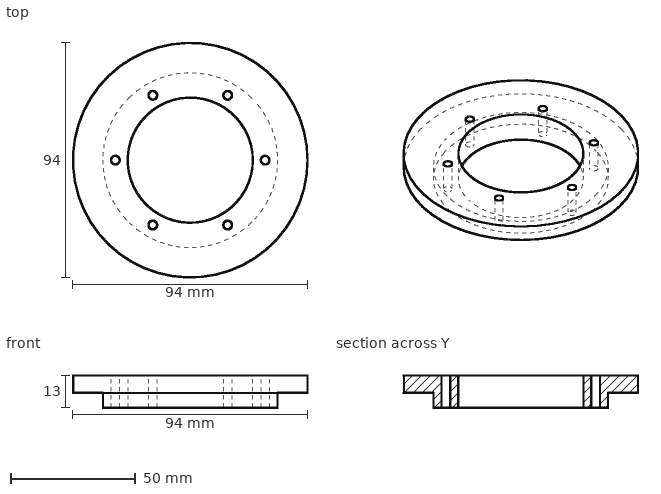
import cadquery as cq

flange_diameter = 94
flange_thickness = 7.0
total_height = 13.0
hub_diameter = 70.0
bore_diameter = 50.0
bolt_circle_diameter = 60.0
bolt_hole_diameter = 3.4
bolt_hole_count = 6

hub_height = total_height - flange_thickness

hub = cq.Workplane("XY").circle(hub_diameter / 2).extrude(hub_height)
flange = (
    cq.Workplane("XY")
    .workplane(offset=hub_height)
    .circle(flange_diameter / 2)
    .extrude(flange_thickness)
)

bore = cq.Workplane("XY").circle(bore_diameter / 2).extrude(total_height)
bolt_holes = (
    cq.Workplane("XY")
    .polarArray(bolt_circle_diameter / 2, 0, 360, bolt_hole_count)
    .circle(bolt_hole_diameter / 2)
    .extrude(total_height)
)

result = hub.union(flange).cut(bore).cut(bolt_holes)